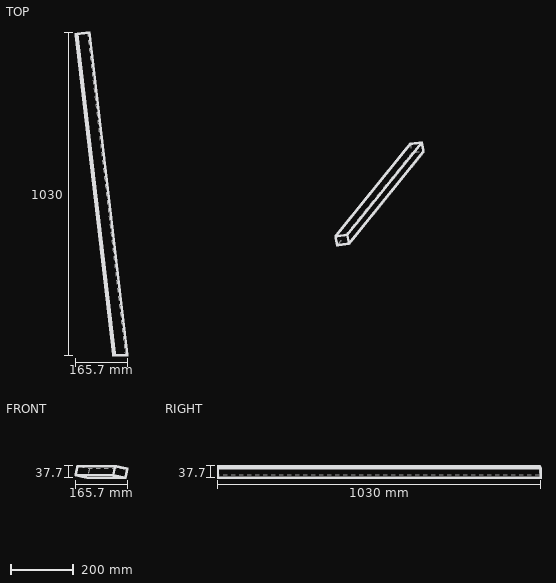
import cadquery as cq
import math

bar_length = 1030.0
section_width = 40.0
section_height = 30.0
roll_angle = 12.0
plan_angle = 6.7

roll = math.radians(roll_angle)
lean = math.tan(math.radians(plan_angle))

half_x = (section_width * math.cos(roll) + section_height * math.sin(roll)) / 2


def rolled_corner(side, level):
    """Near-end corner (x, z); side and level are -1 or 1."""
    u = side * section_width / 2
    v = level * section_height / 2
    x = u * math.cos(roll) + v * math.sin(roll)
    z = v * math.cos(roll) - u * math.sin(roll)
    return x, z


def far_corner(x, z):
    """Matching corner at the far end, which is vertical and square to the bar."""
    run = bar_length - lean * (half_x - x) / (1 + lean ** 2)
    return x - lean * run, run, z


def polygon_face(points):
    return cq.Face.makeFromWires(cq.Wire.assembleEdges(
        [cq.Edge.makeLine(cq.Vector(*start), cq.Vector(*end))
         for start, end in zip(points, points[1:] + points[:1])]))


section = [rolled_corner(*signs) for signs in [(-1, 1), (1, 1), (1, -1), (-1, -1)]]
near_end = [(x, 0, z) for x, z in section]
far_end = [far_corner(x, z) for x, z in section]

faces = [polygon_face(near_end), polygon_face(far_end)]
for i in range(len(section)):
    j = (i + 1) % len(section)
    faces.append(polygon_face([near_end[i], near_end[j], far_end[j], far_end[i]]))

result = cq.Workplane(obj=cq.Solid.makeSolid(cq.Shell.makeShell(faces)))